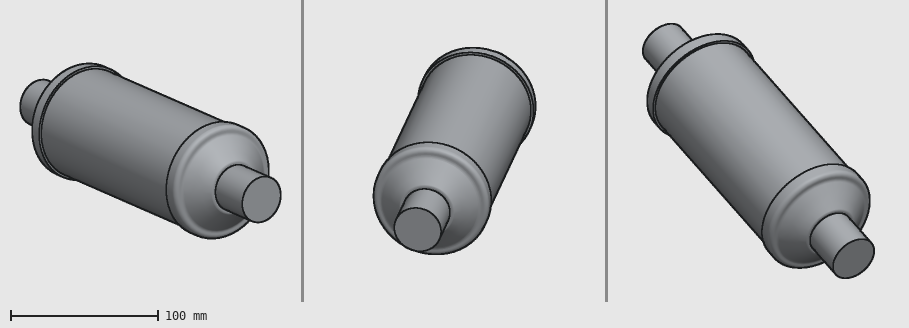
import cadquery as cq

total_length = 257.0
body_radius = 38.3
pipe_radius = 16.2
pipe_length = 31.0
cone_small_radius = 18.5
cone_large_radius = 34.2
rim_radius = 40.0
rim_front = 44.5
rim_back = 55.0
rim_fillet = 3.3
cone_root_fillet = 3.3
shoulder_fillet = 2.0


def make_body():
    """Plain cylinder between the two end caps, centred on the origin."""
    half_body = total_length / 2 - rim_back
    return cq.Workplane("YZ").circle(body_radius).extrude(half_body, both=True)


def round_corner(end, x, radius, fillet_radius):
    """Fillet the circular edge that passes through (x, radius)."""
    tolerance = 0.03
    edge = end.edges("%CIRCLE").filter(
        lambda e: abs(e.Center().x - x) < tolerance and abs(e.radius() - radius) < tolerance
    )
    return edge.fillet(fillet_radius)


def make_end():
    """Pipe stub, cone and rounded rim at the -X end, revolved about X."""
    profile = [
        (0, 0),
        (0, pipe_radius),
        (pipe_length, pipe_radius),
        (pipe_length, cone_small_radius),
        (rim_front, cone_large_radius),
        (rim_front, rim_radius),
        (rim_back, rim_radius),
        (rim_back, 0),
    ]
    end = cq.Workplane("XY").polyline(profile).close().revolve(360, (0, 0, 0), (1, 0, 0))
    end = round_corner(end, rim_front, rim_radius, rim_fillet)
    end = round_corner(end, rim_front, cone_large_radius, cone_root_fillet)
    end = round_corner(end, pipe_length, cone_small_radius, shoulder_fillet)
    return end.translate((-total_length / 2, 0, 0))


left_end = make_end()
right_end = left_end.mirror("YZ")
result = make_body().union(left_end).union(right_end)